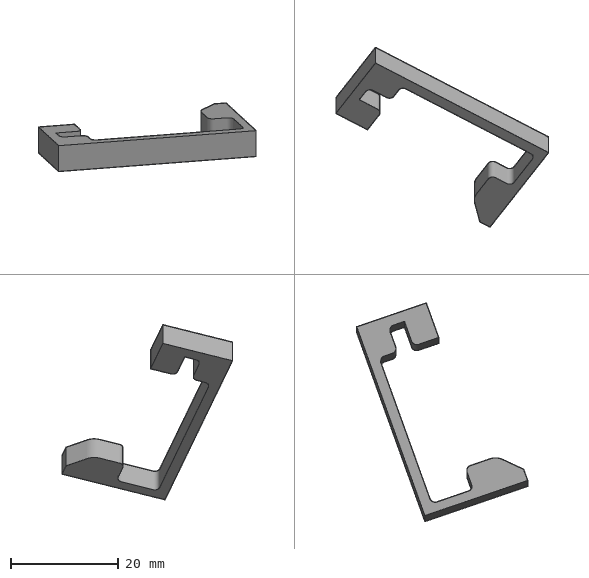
import cadquery as cq

length = 38.3
width = 20.35
thickness = 5.0
spine_wall = 2.0
corner_radius = 1.0

arm_wall = 1.75
latch_depth = 6.25
latch_back = 10.2
nose_height = 2.25
ramp_radius = 3.0

foot_width = 13.75
foot_height = 7.0
slot_floor = 2.0
slot_near = 5.6
slot_far = 8.75

x_outer = width / 2
x_nose = -width / 2
x_spine = x_outer - spine_wall
x_latch = x_outer - latch_back
x_foot = x_outer - foot_width
x_slot_near = x_outer - slot_near
x_slot_far = x_outer - slot_far
y_top = length / 2
y_bottom = -length / 2
y_arm = y_top - arm_wall
y_latch = y_top - latch_depth
y_nose = y_top - nose_height
y_foot = y_bottom + foot_height
y_slot = y_bottom + slot_floor
x_ramp_end = x_nose + (y_nose - y_latch)

rounded_corners = [
    (x_latch, y_latch),
    (x_latch, y_arm),
    (x_spine, y_arm),
    (x_spine, y_foot),
    (x_slot_near, y_foot),
    (x_slot_near, y_slot),
    (x_slot_far, y_foot),
]


def extrude_profile():
    """Bracket with sharp corners, centred in Z."""
    outline = [
        (x_outer, y_bottom),
        (x_outer, y_top),
        (x_nose, y_top),
        (x_nose, y_nose),
        (x_ramp_end, y_latch),
        (x_latch, y_latch),
        (x_latch, y_arm),
        (x_spine, y_arm),
        (x_spine, y_foot),
        (x_slot_near, y_foot),
        (x_slot_near, y_slot),
        (x_slot_far, y_slot),
        (x_slot_far, y_foot),
        (x_foot, y_foot),
        (x_foot, y_bottom),
    ]
    return cq.Workplane("XY").polyline(outline).close().extrude(thickness / 2, both=True)


def round_corner(body, corner, radius):
    """Fillet the vertical edge standing at the given XY corner."""
    x, y = corner
    return body.edges("|Z").edges(cq.NearestToPointSelector((x, y, 0))).fillet(radius)


result = extrude_profile()
result = round_corner(result, (x_ramp_end, y_latch), ramp_radius)
for rounded_corner in rounded_corners:
    result = round_corner(result, rounded_corner, corner_radius)